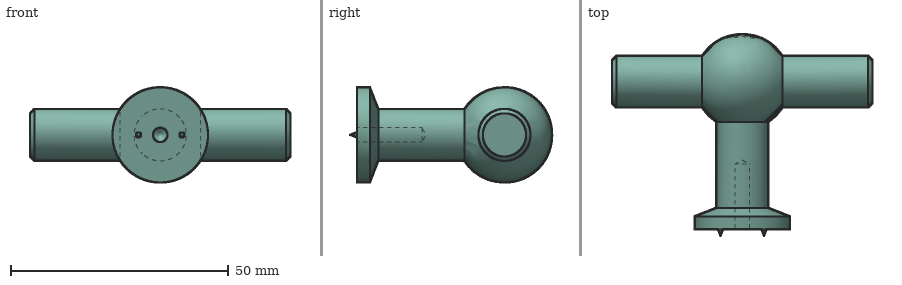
import cadquery as cq

bar_length = 60
bar_diameter = 12
bar_chamfer = 1.0
ball_diameter = 22.0

foot_distance = 34.0
foot_diameter = ball_diameter
foot_rim = 3
foot_flare = 2.0

hole_diameter = 3.3
hole_depth = 15
drill_point_height = 0.95

spike_spacing = 10.0
spike_diameter = 1.2
spike_height = 1.5


def revolve_about_y(points):
    """Revolve a closed (radius, y) profile around the Y axis."""
    return cq.Workplane("XY").polyline(points).close().revolve(360, (0, 0, 0), (0, 1, 0))


def make_bar():
    bar = cq.Workplane("YZ").circle(bar_diameter / 2).extrude(bar_length / 2, both=True)
    return bar.faces("<X or >X").chamfer(bar_chamfer)


def make_stem():
    rim_top = -foot_distance + foot_rim
    return revolve_about_y([
        (0, 0),
        (bar_diameter / 2, 0),
        (bar_diameter / 2, rim_top + foot_flare),
        (foot_diameter / 2, rim_top),
        (foot_diameter / 2, -foot_distance),
        (0, -foot_distance),
    ])


def make_hole():
    hole_end = -foot_distance + hole_depth
    return revolve_about_y([
        (0, -foot_distance),
        (hole_diameter / 2, -foot_distance),
        (hole_diameter / 2, hole_end),
        (0, hole_end + drill_point_height),
    ])


def make_spike(x):
    spike = revolve_about_y([
        (0, -foot_distance),
        (spike_diameter / 2, -foot_distance),
        (0, -foot_distance - spike_height),
    ])
    return spike.translate((x, 0, 0))


ball = cq.Workplane("XY").sphere(ball_diameter / 2)
result = ball.union(make_bar()).union(make_stem()).cut(make_hole())
for side in (-1, 1):
    result = result.union(make_spike(side * spike_spacing / 2))